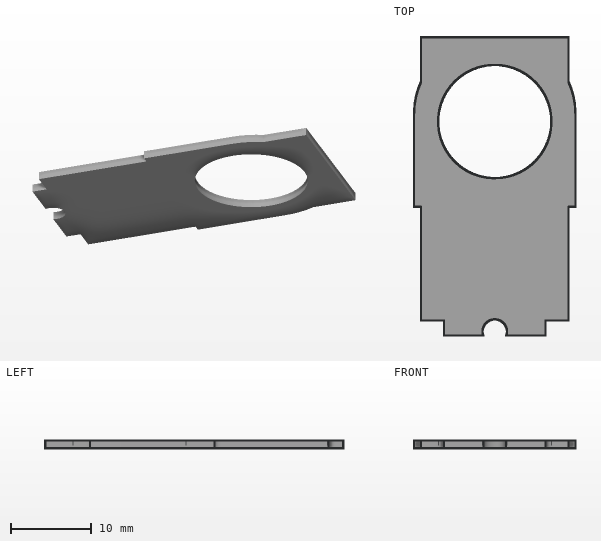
import cadquery as cq
import math

thickness = 1.0
total_length = 36.95
shoulder_width = 20.0
body_width = 18.3
tab_width = 12.6
tab_height = 1.85
hole_diameter = 14.0
hole_to_top = 10.45
shoulder_bottom_to_top = 21.0
shoulder_arc_radius = 9.2
shoulder_arc_end_to_top = 9.42
notch_radius = 1.5
notch_centre_height = 0.5

top_y = hole_to_top
bottom_y = top_y - total_length
tab_top_y = bottom_y + tab_height
shoulder_bottom_y = top_y - shoulder_bottom_to_top
arc_end_y = top_y - shoulder_arc_end_to_top

shoulder_x = shoulder_width / 2
body_x = body_width / 2
tab_x = tab_width / 2

arc_centre_x = shoulder_x - shoulder_arc_radius
arc_sweep = math.acos((body_x - arc_centre_x) / shoulder_arc_radius)
arc_start_y = arc_end_y + shoulder_arc_radius * math.sin(arc_sweep)
arc_middle_x = arc_centre_x + shoulder_arc_radius * math.cos(arc_sweep / 2)
arc_middle_y = arc_end_y + shoulder_arc_radius * math.sin(arc_sweep / 2)


def make_plate():
    """Flat plate with wide shoulders and a narrow tab at the bottom end."""
    return (
        cq.Workplane("XY")
        .moveTo(-body_x, top_y)
        .lineTo(body_x, top_y)
        .lineTo(body_x, arc_start_y)
        .threePointArc((arc_middle_x, arc_middle_y), (shoulder_x, arc_end_y))
        .lineTo(shoulder_x, shoulder_bottom_y)
        .lineTo(body_x, shoulder_bottom_y)
        .lineTo(body_x, tab_top_y)
        .lineTo(tab_x, tab_top_y)
        .lineTo(tab_x, bottom_y)
        .lineTo(-tab_x, bottom_y)
        .lineTo(-tab_x, tab_top_y)
        .lineTo(-body_x, tab_top_y)
        .lineTo(-body_x, shoulder_bottom_y)
        .lineTo(-shoulder_x, shoulder_bottom_y)
        .lineTo(-shoulder_x, arc_end_y)
        .threePointArc((-arc_middle_x, arc_middle_y), (-body_x, arc_start_y))
        .close()
        .extrude(thickness)
    )


def through_cylinder(radius, centre_y):
    """Cutter for a round opening on the plate's centre line."""
    return cq.Workplane("XY").center(0, centre_y).circle(radius).extrude(thickness)


large_hole = through_cylinder(hole_diameter / 2, 0)
tab_notch = through_cylinder(notch_radius, bottom_y + notch_centre_height)

result = make_plate().cut(large_hole).cut(tab_notch)